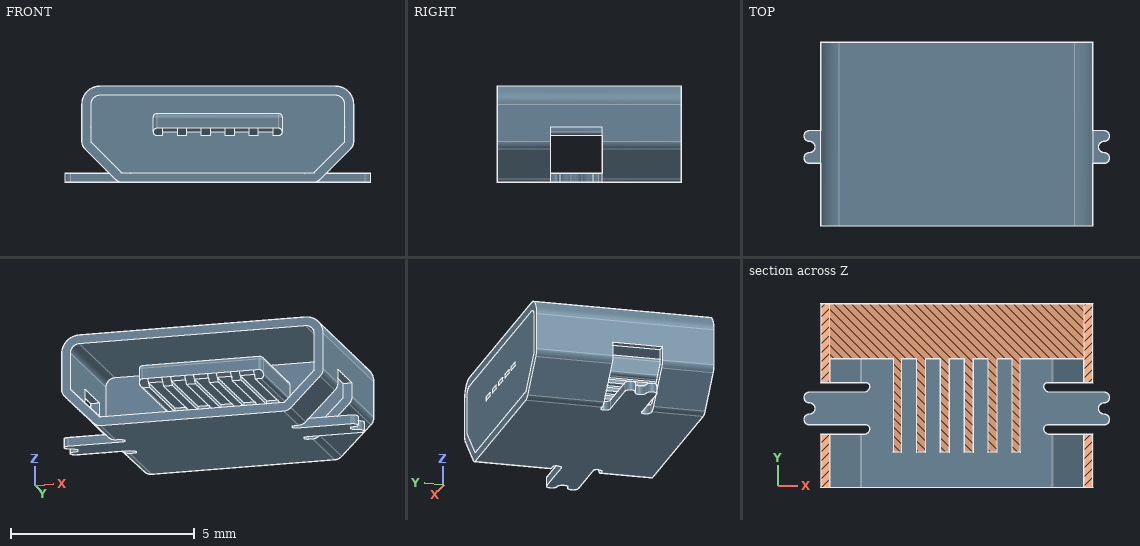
import cadquery as cq
import math

shell_width = 7.4
shell_depth = 5.0
shell_height = 2.62
sheet = 0.25
top_bend_radius = 0.5
lower_bend_radius = 0.28
knee_height = 1.1

front_y = -shell_depth / 2
back_y = shell_depth / 2
cavity_half_width = shell_width / 2 - sheet
floor_half_width = cavity_half_width - (knee_height - sheet)

tab_span = 8.31
lobe_radius = 0.15
tab_width = 6 * lobe_radius
tab_y = -0.35
tab_root_x = 2.08

window_width = 1.4
window_top = 1.495
slot_width = (window_width - tab_width) / 2
slot_end_x = 2.37
slot_front_radius = 0.15
slot_back_radius = slot_width - slot_front_radius

plate_front_y = 1.0
tongue_width = 3.51
tongue_bottom = 1.27
tongue_top = 1.87
tongue_front_y = -1.7
tongue_edge_radius = 0.1
lip_chamfer = 0.2

contact_count = 5
contact_pitch = 0.65
contact_width = 0.4
contact_thickness = 0.1
contact_recess = 0.1
contact_bottom = tongue_bottom + contact_recess
contact_top = contact_bottom + contact_thickness

arc_inset = 1 - math.sqrt(0.5)


def block(x_range, y_range, z_range):
    """Make a box from its limits along each axis."""
    x_size, y_size, z_size = (high - low for low, high in (x_range, y_range, z_range))
    corner = (x_range[0], y_range[0], z_range[0])
    return cq.Workplane("XY").box(x_size, y_size, z_size, centered=False).translate(corner)


def cavity(y_start):
    """Fill the inside of the shell from y_start to the back."""
    outline = cq.Workplane("XZ", origin=(0, y_start, 0)).polyline([
        (-floor_half_width, sheet),
        (floor_half_width, sheet),
        (cavity_half_width, knee_height),
        (cavity_half_width, shell_height - sheet),
        (-cavity_half_width, shell_height - sheet),
        (-cavity_half_width, knee_height),
    ]).close()
    inside = outline.extrude(y_start - back_y)
    inside = inside.edges("|Y and >Z").fillet(top_bend_radius - sheet)
    lower_region = cq.selectors.BoxSelector(
        (-shell_width, -shell_depth, 0),
        (shell_width, shell_depth, knee_height + sheet),
    )
    return inside.edges("|Y").edges(lower_region).fillet(lower_bend_radius - sheet)


def make_sleeve():
    """Grow the cavity outline by the sheet thickness and take the cavity out of it."""
    inside = cavity(front_y)
    outer_wire = inside.faces("<Y").wires().val().offset2D(sheet, "arc")[0]
    outside = cq.Solid.extrudeLinear(outer_wire, [], cq.Vector(0, shell_depth, 0))
    return cq.Workplane("XY").add(outside).cut(inside)


def slot_cutter(slot_y):
    """Make the cutter for one slot in the +X side of the floor, centred on slot_y."""
    y_low = slot_y - slot_width / 2
    y_high = slot_y + slot_width / 2
    front_inset = slot_front_radius * arc_inset
    back_inset = slot_back_radius * arc_inset
    outline = (
        cq.Workplane("XY")
        .moveTo(shell_width, y_low)
        .lineTo(slot_end_x + slot_front_radius, y_low)
        .threePointArc(
            (slot_end_x + front_inset, y_low + front_inset),
            (slot_end_x, y_low + slot_front_radius),
        )
        .threePointArc(
            (slot_end_x + back_inset, y_high - back_inset),
            (slot_end_x + slot_back_radius, y_high),
        )
        .lineTo(shell_width, y_high)
        .close()
    )
    return outline.extrude(sheet)


def window_cutter():
    """Make the cutter for the +X window and the slots beside its tab."""
    opening = block(
        (slot_end_x + slot_front_radius, shell_width),
        (tab_y - window_width / 2, tab_y + window_width / 2),
        (0, window_top),
    )
    slot_offset = (tab_width + slot_width) / 2
    for slot_y in (tab_y - slot_offset, tab_y + slot_offset):
        opening = opening.union(slot_cutter(slot_y))
    return opening


def make_tab():
    """Make the +X tab, with two rounded lobes and a round notch between them."""
    lobe_x = tab_span / 2 - lobe_radius
    tip_x = tab_span / 2
    half_width = tab_width / 2
    outline = (
        cq.Workplane("XY", origin=(0, tab_y, 0))
        .moveTo(tab_root_x, -half_width)
        .lineTo(lobe_x, -half_width)
        .threePointArc((tip_x, -2 * lobe_radius), (lobe_x, -lobe_radius))
        .threePointArc((lobe_x - lobe_radius, 0), (lobe_x, lobe_radius))
        .threePointArc((tip_x, 2 * lobe_radius), (lobe_x, half_width))
        .lineTo(tab_root_x, half_width)
        .close()
    )
    return outline.extrude(sheet)


def make_shell():
    """Make the sleeve with a window and a tab on each side."""
    window = window_cutter()
    tab = make_tab()
    sleeve = make_sleeve().cut(window).cut(window.mirror("YZ"))
    return sleeve.union(tab).union(tab.mirror("YZ"))


def make_tongue_blank():
    """Make the tongue without grooves, run through to the back of the plate."""
    half_width = tongue_width / 2
    blank = block((-half_width, half_width), (tongue_front_y, back_y), (tongue_bottom, tongue_top))
    blank = blank.edges("|Y").fillet(tongue_edge_radius)
    blank = blank.faces("<Y").edges(">Z or <X or >X").fillet(tongue_edge_radius)
    lip = cq.Workplane("YZ").polyline([
        (tongue_front_y, tongue_bottom),
        (tongue_front_y + lip_chamfer, tongue_bottom),
        (tongue_front_y, tongue_bottom + lip_chamfer),
    ]).close().extrude(half_width, both=True)
    return blank.cut(lip)


def contact_x_range(index):
    """Give the X limits of one contact and its groove."""
    x = (index - (contact_count - 1) / 2) * contact_pitch
    return (x - contact_width / 2, x + contact_width / 2)


def make_contact(index, tongue_blank):
    """Make one contact strip, its front end trimmed flush with the chamfered lip."""
    strip = block(contact_x_range(index), (tongue_front_y, back_y), (contact_bottom, contact_top))
    return strip.intersect(tongue_blank)


def make_insulator(tongue_blank, contacts):
    """Join the tongue and back plate, then cut the grooves and the seats of the contacts."""
    insulator = tongue_blank.union(cavity(plate_front_y))
    for index, contact in enumerate(contacts):
        groove = block(
            contact_x_range(index),
            (tongue_front_y, plate_front_y),
            (tongue_bottom, contact_bottom),
        )
        insulator = insulator.cut(groove).cut(contact)
    return insulator


tongue_blank = make_tongue_blank()
shell = make_shell()
contacts = [make_contact(index, tongue_blank) for index in range(contact_count)]
insulator = make_insulator(tongue_blank, contacts)

result = cq.Compound.makeCompound([
    shell.solids().val(),
    insulator.solids().val(),
    *[contact.solids().val() for contact in contacts],
])